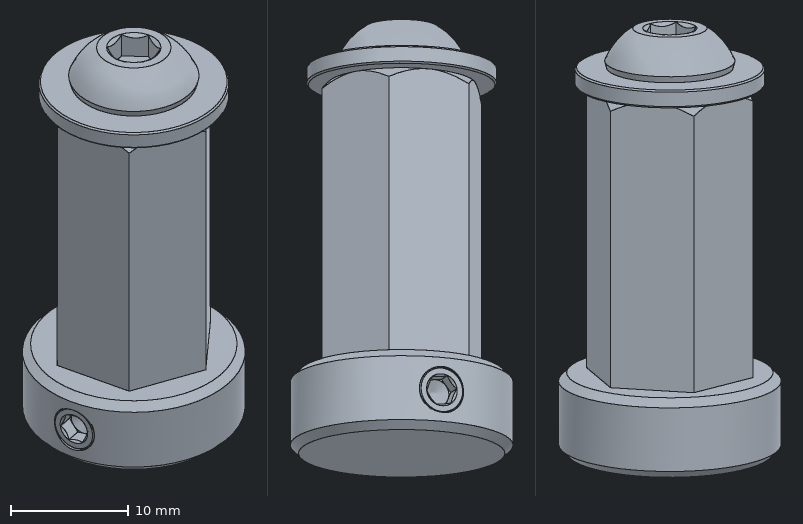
import cadquery as cq
import math

total_height = 37.33
base_height = 7.0
washer_bottom = 32.33
washer_thickness = 1.55
washer_top = washer_bottom + washer_thickness

base_diameter = 19.05
base_chamfer = 0.7
post_across_flats = 12.7
post_across_corners = post_across_flats / math.cos(math.pi / 6)
post_top_diameter = post_across_flats

washer_diameter = 16.25
washer_chamfer = 0.15

head_diameter = 11.12
head_flat_diameter = 6.35
head_rim_height = 0.55
head_seat_diameter = 10.83
head_socket_across_flats = 3.95
head_socket_mouth_diameter = 4.63
head_socket_depth = 2.2
head_socket_turn = 30.0

set_screw_diameter = 4.05
set_screw_length = 4.48
set_screw_recess = 0.15
set_screw_chamfer = 0.1
set_screw_socket_across_flats = 2.4
set_screw_socket_mouth_diameter = 2.8
set_screw_socket_depth = 1.4
set_screw_socket_turn = 8.0
set_screw_drill_angle = 118.0
set_screw_height = base_height / 2
set_screw_face = -base_diameter / 2 + set_screw_recess
set_screw_end = set_screw_face + set_screw_length


def hexagon_prism(across_flats, height, turn):
    """Hexagonal prism rising from Z = 0; with no turn, two corners lie on the X axis."""
    across_corners = across_flats / math.cos(math.pi / 6)
    prism = cq.Workplane("XY").polygon(6, across_corners).extrude(height)
    return prism.rotate((0, 0, 0), (0, 0, 1), turn)


def hexagon_socket(across_flats, mouth_diameter, depth, turn):
    """Cutter for a hexagonal socket that opens upward at Z = 0, with a 45 degree countersunk mouth."""
    hexagon = hexagon_prism(across_flats, depth, turn).translate((0, 0, -depth))
    mouth_depth = (mouth_diameter - across_flats) / 2
    mouth = cq.Workplane("XY").circle(mouth_diameter / 2).extrude(-mouth_depth, taper=45)
    return hexagon.union(mouth)


def drill_point(diameter, angle):
    """Cone pointing down from Z = 0, as left by the tip of a drill."""
    radius = diameter / 2
    tip_depth = radius / math.tan(math.radians(angle / 2))
    outline = cq.Workplane("XZ").polyline([(0, 0), (radius, 0), (0, -tip_depth)]).close()
    return outline.revolve(360, (0, 0, 0), (0, 1, 0))


def make_post():
    base = cq.Workplane("XY").circle(base_diameter / 2).extrude(base_height)
    base = base.faces("<Z or >Z").chamfer(base_chamfer)

    corner_drop = (post_across_corners - post_top_diameter) / 2
    hexagon = hexagon_prism(post_across_flats, washer_bottom, 0)
    turned_bar = cq.Workplane("XY").circle(post_across_corners / 2).extrude(washer_bottom)
    turned_bar = turned_bar.faces(">Z").chamfer(corner_drop)
    post = base.union(hexagon.intersect(turned_bar))

    hole = cq.Workplane("XZ", origin=(0, set_screw_end, set_screw_height))
    hole = hole.circle(set_screw_diameter / 2).extrude(base_diameter)
    return post.cut(hole)


def make_washer():
    washer = cq.Workplane("XY").workplane(offset=washer_bottom)
    washer = washer.circle(washer_diameter / 2).extrude(washer_thickness)
    return washer.faces("<Z or >Z").chamfer(washer_chamfer)


def make_button_head():
    rim_radius = head_diameter / 2
    flat_radius = head_flat_diameter / 2
    rim_z = washer_top + head_rim_height
    dome_height = total_height - rim_z
    centre_rise = (dome_height ** 2 + flat_radius ** 2 - rim_radius ** 2) / (2 * dome_height)
    dome_radius = math.hypot(rim_radius, centre_rise)
    dome_middle_z = (rim_z + total_height) / 2
    dome_middle_radius = math.sqrt(dome_radius ** 2 - (dome_middle_z - rim_z - centre_rise) ** 2)

    head = (
        cq.Workplane("XZ")
        .moveTo(0, washer_top)
        .lineTo(head_seat_diameter / 2, washer_top)
        .lineTo(rim_radius, rim_z)
        .threePointArc((dome_middle_radius, dome_middle_z), (flat_radius, total_height))
        .lineTo(0, total_height)
        .close()
        .revolve(360, (0, 0, 0), (0, 1, 0))
    )
    socket = hexagon_socket(
        head_socket_across_flats, head_socket_mouth_diameter, head_socket_depth, head_socket_turn
    )
    return head.cut(socket.translate((0, 0, total_height)))


def make_set_screw():
    screw = cq.Workplane("XY").circle(set_screw_diameter / 2).extrude(-set_screw_length)
    screw = screw.faces(">Z").chamfer(set_screw_chamfer)
    socket = hexagon_socket(
        set_screw_socket_across_flats,
        set_screw_socket_mouth_diameter,
        set_screw_socket_depth,
        set_screw_socket_turn,
    )
    point = drill_point(set_screw_socket_across_flats, set_screw_drill_angle)
    screw = screw.cut(socket).cut(point.translate((0, 0, -set_screw_socket_depth)))
    screw = screw.rotate((0, 0, 0), (1, 0, 0), 90)
    return screw.translate((0, set_screw_face, set_screw_height))


post = make_post()
washer = make_washer()
button_head = make_button_head()
set_screw = make_set_screw()

result = cq.Compound.makeCompound(
    [post.val(), washer.val(), button_head.val(), set_screw.val()]
)